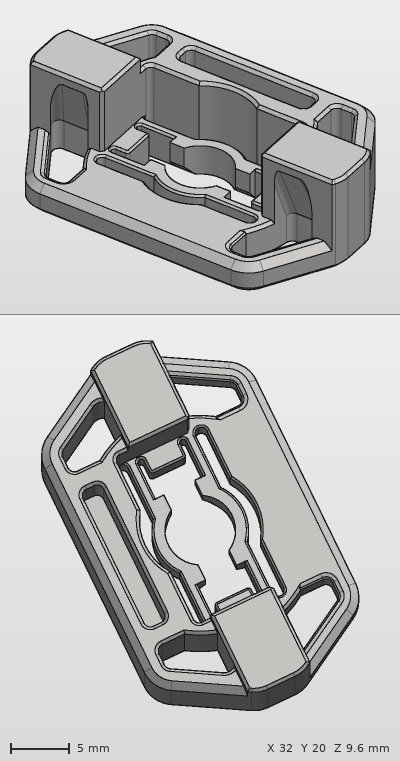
import cadquery as cq
import math

LENGTH = 32.0
WIDTH = 20.0
HALF_WIDTH = WIDTH / 2
SLAB_HEIGHT = 3.0
BLOCK_HEIGHT = 8.05
PILLAR_HEIGHT = 9.6
SIDE_ANGLE = math.radians(60)
HALF_FLAT = 11.4
OUTLINE_RADIUS = 2.8
OUTER_CHAMFER = 0.7
RIM_CHAMFER = 0.3
SLOT_CHAMFER = 0.2

PILLAR_INNER_X = 8.05
PILLAR_HALF_WIDTH = 2.95

FRAME_WALL = 1.8
WINDOW_INNER_X = 8.35
WINDOW_ARC_RADIUS = 10.0
WINDOW_CORNER_RADIUS = 0.6
REAR_END_RADIUS = 1.0
RECESS_RADIUS = 0.7
FRONT_WINDOW_END_Y = -1.0
REAR_WINDOW_END_Y = 2.5
RECESS_TOP = 8.55

BORE_RADIUS = 3.0
ARM_INNER_Y = 2.27
ARM_OUTER_Y = 3.2
ARM_ARC_RADIUS = 4.13
SLOT_OUTER_Y = 4.25
SLOT_ARC_RADIUS = 5.2
SLOT_END_X = PILLAR_INNER_X
SLOT_END_RADIUS = 0.5
PAD_OUTER_X = 4.1
PAD_INNER_Y = 1.47
PAD_UNDERCUT_HEIGHT = 1.0

OPENING_END_X = 7.78
TAB_TIP_X = 6.25
TAB_HALF_WIDTH = 1.7
NOTCH_END_RADIUS = 0.25
TAB_CORNER_RADIUS = 0.3

POCKET_HALF_LENGTH = 6.6
POCKET_FRONT_Y = 6.27
POCKET_REAR_Y = HALF_WIDTH - FRAME_WALL
POCKET_FLOOR = SLAB_HEIGHT


def box(x_range, y_range, z_range):
    """Axis-aligned box between the given limits."""
    size = [limits[1] - limits[0] for limits in (x_range, y_range, z_range)]
    corner = (x_range[0], y_range[0], z_range[0])
    return cq.Workplane("XY").box(*size, centered=False).translate(corner)


def cylinder(radius, height):
    return cq.Workplane("XY").circle(radius).extrude(height)


def outline_prism(height):
    """Full outline with rounded corners and a chamfered bottom edge."""
    end_x = LENGTH / 2
    end_y = HALF_WIDTH - (end_x - HALF_FLAT) * math.tan(SIDE_ANGLE)
    points = [
        (HALF_FLAT, HALF_WIDTH),
        (end_x, end_y),
        (end_x, -end_y),
        (HALF_FLAT, -HALF_WIDTH),
        (-HALF_FLAT, -HALF_WIDTH),
        (-end_x, -end_y),
        (-end_x, end_y),
        (-HALF_FLAT, HALF_WIDTH),
    ]
    prism = cq.Workplane("XY").polyline(points).close().extrude(height)
    prism = prism.edges("|Z").fillet(OUTLINE_RADIUS)
    return prism.faces("<Z").edges().chamfer(OUTER_CHAMFER)


def both_ends(shape):
    """The left-hand shape together with its mirror image."""
    return shape.union(shape.mirror("YZ"))


def window(height, end_y):
    """Sharp-cornered left corner window between the frame and `end_y`, in front or at the rear."""
    side = math.copysign(1, end_y)
    frame_y = HALF_WIDTH - FRAME_WALL
    frame_x = HALF_FLAT - FRAME_WALL * math.tan(SIDE_ANGLE / 2)
    end_x = frame_x + (frame_y - abs(end_y)) / math.tan(SIDE_ANGLE)
    points = [
        (-WINDOW_INNER_X, side * frame_y),
        (-frame_x, side * frame_y),
        (-end_x, end_y),
        (-WINDOW_INNER_X, end_y),
    ]
    return cq.Workplane("XY").polyline(points).close().extrude(height)


def rear_window(height):
    prism = window(height, REAR_WINDOW_END_Y)
    prism = prism.edges("|Z").edges(">Y").fillet(WINDOW_CORNER_RADIUS)
    prism = prism.edges("|Z").edges("<X").fillet(REAR_END_RADIUS)
    return prism.cut(cylinder(WINDOW_ARC_RADIUS, height))


def front_window(height):
    prism = window(height, FRONT_WINDOW_END_Y).edges("|Z").edges("<Y").fillet(WINDOW_CORNER_RADIUS)
    return prism.cut(cylinder(WINDOW_ARC_RADIUS, height))


def recessed_front_window():
    """Front window that reaches under the pillar below a sloping, rounded ceiling."""
    slope = (RECESS_TOP - SLAB_HEIGHT) / (FRONT_WINDOW_END_Y + PILLAR_HALF_WIDTH)
    top = PILLAR_HEIGHT
    top_y = FRONT_WINDOW_END_Y - (top - SLAB_HEIGHT) / slope
    ceiling = (
        cq.Workplane("YZ")
        .polyline([(FRONT_WINDOW_END_Y, SLAB_HEIGHT), (top_y, top), (FRONT_WINDOW_END_Y, top)])
        .close()
        .extrude(-LENGTH)
    )
    prism = front_window(top).cut(ceiling)
    inner_edges = cq.selectors.BoxSelector((-LENGTH, top_y + 0.03, 0.03), (0, 0, top - 0.03))
    return prism.edges(inner_edges).edges("not |X").fillet(RECESS_RADIUS)


def slot_cutter(height):
    """Rear slot, widened by an arc around the bore."""
    straight = box((-SLOT_END_X, SLOT_END_X), (ARM_OUTER_Y, SLOT_OUTER_Y), (0, height))
    straight = straight.edges("|Z").fillet(SLOT_END_RADIUS)
    bulge = cylinder(SLOT_ARC_RADIUS, height)
    bulge = bulge.intersect(box((-LENGTH, LENGTH), (ARM_OUTER_Y, LENGTH), (0, height)))
    return straight.union(bulge).cut(cylinder(ARM_ARC_RADIUS, height))


def opening_cutter(height):
    """Central bore and opening, leaving the arm pads and the two end tabs."""
    opening = box((-OPENING_END_X, OPENING_END_X), (-ARM_INNER_Y, ARM_INNER_Y), (0, height))
    for tab_side in (-1, 1):
        tab_range = sorted((tab_side * TAB_TIP_X, tab_side * LENGTH))
        tab = box(tab_range, (-TAB_HALF_WIDTH, TAB_HALF_WIDTH), (0, height))
        tab_tip = tab.edges("|Z and <X") if tab_side > 0 else tab.edges("|Z and >X")
        opening = opening.cut(tab_tip.fillet(TAB_CORNER_RADIUS))
        pad_range = sorted((tab_side * PAD_INNER_Y, tab_side * ARM_INNER_Y))
        opening = opening.cut(box((-PAD_OUTER_X, PAD_OUTER_X), pad_range, (0, height)))
    notch_ends = cq.selectors.BoxSelector(
        (-OPENING_END_X - 0.32, -LENGTH, -0.32), (0.32 - OPENING_END_X, LENGTH, height + 0.32)
    )
    notch_ends += cq.selectors.BoxSelector(
        (OPENING_END_X - 0.32, -LENGTH, -0.32), (0.32 + OPENING_END_X, LENGTH, height + 0.32)
    )
    opening = opening.edges("|Z").edges(notch_ends).fillet(NOTCH_END_RADIUS)
    undercut_apex = PAD_UNDERCUT_HEIGHT * ARM_INNER_Y / (ARM_INNER_Y - PAD_INNER_Y)
    undercut = (
        cq.Workplane("YZ")
        .polyline([(-ARM_INNER_Y, 0), (0, undercut_apex), (ARM_INNER_Y, 0)])
        .close()
        .extrude(PAD_OUTER_X, both=True)
    )
    return opening.union(cylinder(BORE_RADIUS, height)).union(undercut)


def chamfer_rim(body, x_range, y_range, size):
    """Chamfer the opening rims on the top face whose edges are centred within the given limits."""
    top = body.faces(">Z").val()
    z = top.Center().z
    region = cq.selectors.BoxSelector((x_range[0], y_range[0], z - 0.32), (x_range[1], y_range[1], z + 0.32))
    rims = [edge for wire in top.innerWires() for edge in wire.Edges()]
    return body.newObject(region.filter(rims)).chamfer(size)


EVERYWHERE = (-LENGTH, LENGTH)


def make_slab():
    slab = outline_prism(SLAB_HEIGHT).faces(">Z").edges().chamfer(OUTER_CHAMFER)
    slab = slab.cut(both_ends(front_window(SLAB_HEIGHT).union(rear_window(SLAB_HEIGHT))))
    slab = chamfer_rim(slab, EVERYWHERE, EVERYWHERE, RIM_CHAMFER)
    slot = slot_cutter(SLAB_HEIGHT)
    slab = slab.cut(slot).cut(slot.mirror("XZ"))
    slab = chamfer_rim(slab, (-SLOT_END_X - 0.03, SLOT_END_X + 0.03), EVERYWHERE, SLOT_CHAMFER)
    slab = slab.cut(opening_cutter(SLAB_HEIGHT))
    opening_y = (-ARM_INNER_Y - 0.03, ARM_INNER_Y + 0.03)
    for x_range in ((-SLOT_END_X, -PAD_OUTER_X - 0.03), (PAD_OUTER_X + 0.03, SLOT_END_X)):
        slab = chamfer_rim(slab, x_range, opening_y, SLOT_CHAMFER)
    return slab


def make_rear_block():
    """Raised rear half, with a bay that leaves room for the spring arms."""
    block = outline_prism(BLOCK_HEIGHT).faces(">Z").edges().chamfer(OUTER_CHAMFER)
    block = block.intersect(box(EVERYWHERE, (0, HALF_WIDTH), (0, BLOCK_HEIGHT)))
    block = block.cut(both_ends(rear_window(BLOCK_HEIGHT)))
    pocket = box(
        (-POCKET_HALF_LENGTH, POCKET_HALF_LENGTH),
        (POCKET_FRONT_Y, POCKET_REAR_Y),
        (POCKET_FLOOR, BLOCK_HEIGHT),
    )
    block = block.cut(pocket.edges("|Z").fillet(WINDOW_CORNER_RADIUS))
    block = chamfer_rim(block, EVERYWHERE, EVERYWHERE, RIM_CHAMFER)
    bay = box((-SLOT_END_X, SLOT_END_X), (-SLOT_OUTER_Y, SLOT_OUTER_Y), (0, BLOCK_HEIGHT))
    bay = bay.edges("|Z").fillet(SLOT_END_RADIUS)
    block = block.cut(bay.union(cylinder(SLOT_ARC_RADIUS, BLOCK_HEIGHT)))
    bay_rim = cq.selectors.BoxSelector(
        (-SLOT_END_X - 0.03, 0.03, BLOCK_HEIGHT - 0.03),
        (SLOT_END_X + 0.03, SLOT_ARC_RADIUS + 0.03, BLOCK_HEIGHT + 0.03),
    )
    return block.edges(bay_rim).chamfer(RIM_CHAMFER)


def pillar_space():
    """Box that bounds the left pillar on its front, rear and inner sides."""
    y_range = (-PILLAR_HALF_WIDTH, PILLAR_HALF_WIDTH)
    return box((-LENGTH, -PILLAR_INNER_X), y_range, (0, PILLAR_HEIGHT))


def make_pillar():
    """Left pillar with a chamfered top and, above the slab, a bevelled inner front corner."""
    pillar = outline_prism(PILLAR_HEIGHT).intersect(pillar_space())
    pillar = pillar.faces(">Z").edges().chamfer(RIM_CHAMFER)
    bevel = (
        cq.Workplane("XY", origin=(-PILLAR_INNER_X, -PILLAR_HALF_WIDTH, SLAB_HEIGHT))
        .polyline([(0, 0), (-RIM_CHAMFER, 0), (0, RIM_CHAMFER)])
        .close()
        .extrude(PILLAR_HEIGHT)
    )
    return pillar.cut(bevel)


base = make_slab().union(make_rear_block()).cut(both_ends(pillar_space()))
result = base.union(both_ends(make_pillar()))
result = result.cut(both_ends(recessed_front_window()))